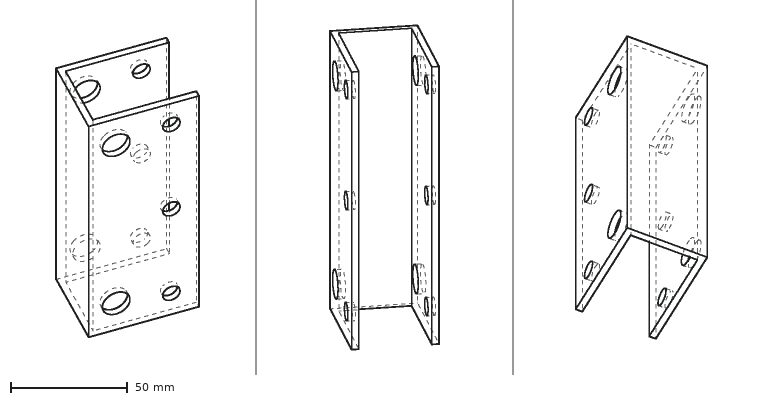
import cadquery as cq

width = 38.1
depth = 50.8
height = 127.0
wall = 3.175

hole_edge_inset = 12.7
small_hole_diameter = 7.9375
small_hole_end_inset = 12.7
large_hole_diameter = 12.7
large_hole_end_inset = 15.875

small_hole_y = depth / 2 - hole_edge_inset
large_hole_y = -depth / 2 + hole_edge_inset
small_hole_z = height / 2 - small_hole_end_inset
large_hole_z = height / 2 - large_hole_end_inset


def make_channel():
    """Channel centred on the origin, open towards +Y, running along Z."""
    block = cq.Workplane("XY").box(width, depth, height)
    cavity = (
        cq.Workplane("XY")
        .box(width - 2 * wall, depth - wall, height)
        .translate((0, wall / 2, 0))
    )
    return block.cut(cavity)


def drill_flanges(body, diameter, centres):
    """Drill holes along X through both flanges at the given (Y, Z) centres."""
    drills = (
        cq.Workplane("YZ")
        .pushPoints(centres)
        .circle(diameter / 2)
        .extrude(width, both=True)
    )
    return body.cut(drills)


small_holes = [(small_hole_y, z) for z in (-small_hole_z, 0, small_hole_z)]
large_holes = [(large_hole_y, z) for z in (-large_hole_z, large_hole_z)]

result = make_channel()
result = drill_flanges(result, small_hole_diameter, small_holes)
result = drill_flanges(result, large_hole_diameter, large_holes)